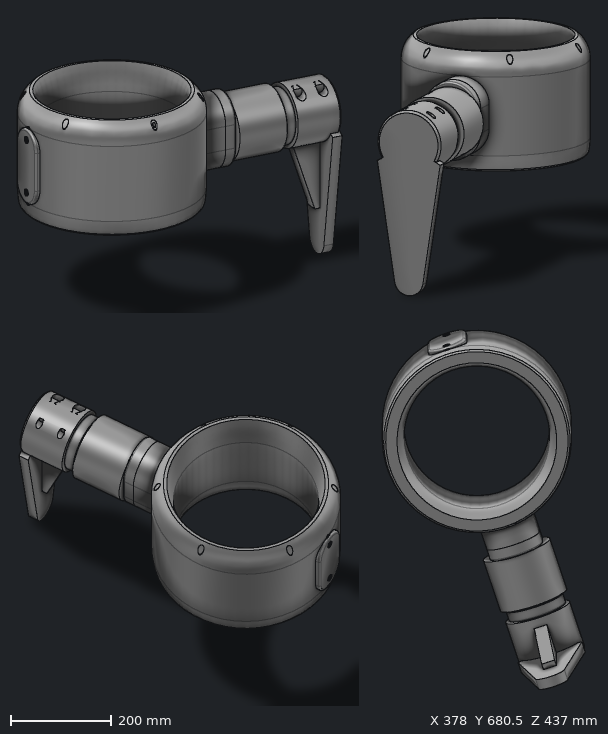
import cadquery as cq
import math


ring_diameter = 378.0
bore_radius = 145.0
band_half_height = 80.0
ring_top = 127.0
ring_bottom = -113.0
rim_outer_radius = 165.0
rim_inner_radius = 158.0
bore_top = 67.0
bore_bottom = -65.0
bottom_outer_radius = 186.0
bottom_inner_radius = 159.0
bottom_chamfer = 4.0

plug_count = 6
plug_circle_radius = 177.0
plug_diameter = 12.0
plug_recess = 1.0
crown_socket_floor = 109.0

screw_hole_diameter = 14.0
screw_diameter = 11.5
screw_gap_depth = 1.5
socket_diameter = 5.7
socket_depth = 3.5

plate_front = -194.5
plate_width = 79.5
plate_fillet = 5.0
plate_screw_z = 56.5
plate_root = -163.5
pin_diameter = 11.5
pin_front = -190.5
pin_z = 78.0

neck_width = 110.0
neck_root = 150.0
neck_end = 228.0
flange_end = 252.5
sleeve_end = 360.0
groove_end = 363.5
collar_end = 386.0
arm_end = 486.0
flange_fillet = 4.0
sleeve_diameter = 140.0
groove_diameter = 105.0
collar_diameter = 119.0
collar_fillet = 3.0
collar_chamfer = 1.5

cap_diameter = 135.0
cap_chamfer = 5.0
cross_ys = (406.0, 456.0)
cross_z = 56.0
shank_diameter = 12.0
shank_tip_x = -28.0
counterbore_diameter = 22.0
counterbore_floor_x = 15.0
head_diameter = 21.0
head_top_x = 26.5

leg_thickness = 22.0
leg_bottom = -310.0
leg_tip_radius = 30.5
leg_shoulder_radius = 77.5
leg_shoulder_angle = math.radians(30)
rib_width = 27.0
rib_bottom = -208.0
rib_bottom_depth = 11.5
rib_top_depth = 60.0

ring_radius = ring_diameter / 2
band_height = 2 * band_half_height
cap_radius = cap_diameter / 2
leg_inner_y = arm_end - leg_thickness


def plane_at_y(y):
    """Plane facing +Y, with local x along -X and local y along +Z."""
    return cq.Workplane(cq.Plane(origin=(0, y, 0), xDir=(-1, 0, 0), normal=(0, 1, 0)))


def upright_slot(width, y_start, y_end):
    """Upright round-ended block as tall as the band, between two Y positions."""
    return plane_at_y(y_start).slot2D(band_height, width, 90).extrude(y_end - y_start)


def disc(diameter, y_start, y_end):
    """Round stretch of the arm."""
    return plane_at_y(y_start).circle(diameter / 2).extrude(y_end - y_start)


def cylinder(diameter, start, direction, length):
    """Cylinder from a start point along a direction."""
    return cq.Workplane(
        cq.Solid.makeCylinder(diameter / 2, length, cq.Vector(*start), cq.Vector(*direction))
    )


def bulge_point(wall_radius, wall_z, end_radius, end_z):
    """Middle of the arc that leaves a vertical wall smoothly and stops at an end point.

    Coordinates are (distance from the ring axis, height).
    """
    run = end_radius - wall_radius
    rise = end_z - wall_z
    arc_radius = (run ** 2 + rise ** 2) / (2 * abs(run))
    half_angle = math.asin(abs(rise) / arc_radius) / 2
    radius = wall_radius + math.copysign(arc_radius * (1 - math.cos(half_angle)), run)
    height = wall_z + math.copysign(arc_radius * math.sin(half_angle), rise)
    return radius, height


def ring_solid(inset=0.0):
    """Turned ring; the inset lowers the whole outer crown and wall."""
    wall = ring_radius - inset
    rim = rim_outer_radius - inset
    foot = bottom_outer_radius - inset
    foot_top = ring_bottom + bottom_chamfer
    return (
        cq.Workplane("XZ")
        .moveTo(rim_inner_radius, ring_top)
        .lineTo(rim, ring_top)
        .threePointArc(bulge_point(wall, band_half_height, rim, ring_top), (wall, band_half_height))
        .lineTo(wall, -band_half_height)
        .threePointArc(bulge_point(wall, -band_half_height, foot, foot_top), (foot, foot_top))
        .lineTo(foot - bottom_chamfer, ring_bottom)
        .lineTo(bottom_inner_radius, ring_bottom)
        .threePointArc(
            bulge_point(bore_radius, bore_bottom, bottom_inner_radius, ring_bottom),
            (bore_radius, bore_bottom),
        )
        .lineTo(bore_radius, bore_top)
        .threePointArc(
            bulge_point(bore_radius, bore_top, rim_inner_radius, ring_top),
            (rim_inner_radius, ring_top),
        )
        .close()
        .revolve(360, (0, 0, 0), (0, 1, 0))
    )


def cover_plate():
    """Rounded plate with two socket screws, and a pin behind each end."""
    plate = upright_slot(plate_width, plate_front, plate_root).faces("<Y").edges().fillet(plate_fillet)
    for side in (-1, 1):
        pin = disc(pin_diameter, pin_front, plate_root).translate((0, 0, side * pin_z))
        plate = plate.union(pin)
        screw_at = (0, plate_front, side * plate_screw_z)
        gap = cylinder(screw_hole_diameter, screw_at, (0, 1, 0), screw_gap_depth)
        plate = plate.cut(gap.cut(cylinder(screw_diameter, screw_at, (0, 1, 0), screw_gap_depth)))
        plate = plate.cut(cylinder(socket_diameter, screw_at, (0, 1, 0), socket_depth))
    return plate


def crown_plugs():
    """Cutter for the plug faces, which follow the crown just below its surface."""
    core = ring_solid(plug_recess)
    cutter = cq.Workplane()
    for index in range(plug_count):
        angle = 2 * math.pi * index / plug_count
        x = plug_circle_radius * math.cos(angle)
        y = plug_circle_radius * math.sin(angle)
        plug = cylinder(plug_diameter, (x, y, band_half_height), (0, 0, 1), ring_top - band_half_height)
        cutter = cutter.add(plug.cut(core))
    return cutter.combine()


def crown_socket():
    """Cutter for the socket in the plug on the +X side."""
    floor = (plug_circle_radius, 0, crown_socket_floor)
    return cylinder(socket_diameter, floor, (0, 0, 1), ring_top - crown_socket_floor)


def make_ring():
    neck = upright_slot(neck_width, neck_root, neck_end)
    crowned = ring_solid().cut(crown_plugs()).cut(crown_socket())
    return crowned.union(neck).union(cover_plate())


def make_sleeve():
    """Flange, round sleeve, groove and collar in a row."""
    flange = upright_slot(neck_width, neck_end, flange_end).faces(">Y").edges().fillet(flange_fillet)
    collar = (
        disc(collar_diameter, groove_end, collar_end)
        .faces(">Y").edges().fillet(collar_fillet)
        .faces("<Y").edges().chamfer(collar_chamfer)
    )
    return (
        flange.union(disc(sleeve_diameter, flange_end, sleeve_end))
        .union(disc(groove_diameter, sleeve_end, groove_end))
        .union(collar)
    )


def cross_screw_cutter(y):
    """Space around one cross screw: shank hole on -X, counterbore around the head on +X."""
    shank = cylinder(shank_diameter, (shank_tip_x, y, cross_z), (-1, 0, 0), cap_radius)
    bore = cylinder(counterbore_diameter, (counterbore_floor_x, y, cross_z), (1, 0, 0), cap_radius)
    head_height = head_top_x - counterbore_floor_x
    head = cylinder(head_diameter, (counterbore_floor_x, y, cross_z), (1, 0, 0), head_height)
    return shank.union(bore.cut(head))


def leg():
    """Flat tapered leg with a round tip and shoulders that run radially into the cap."""
    shoulder_x = leg_shoulder_radius * math.cos(leg_shoulder_angle)
    shoulder_z = -leg_shoulder_radius * math.sin(leg_shoulder_angle)
    tip_z = leg_bottom + leg_tip_radius
    drop = shoulder_z - tip_z
    tangent_angle = math.atan2(drop, shoulder_x) - math.acos(leg_tip_radius / math.hypot(drop, shoulder_x))
    tangent_x = leg_tip_radius * math.cos(tangent_angle)
    tangent_z = tip_z + leg_tip_radius * math.sin(tangent_angle)
    return (
        plane_at_y(leg_inner_y)
        .moveTo(0, 0)
        .lineTo(shoulder_x, shoulder_z)
        .lineTo(tangent_x, tangent_z)
        .threePointArc((0, leg_bottom), (-tangent_x, tangent_z))
        .lineTo(-shoulder_x, shoulder_z)
        .close()
        .extrude(leg_thickness)
    )


def rib():
    """Tapered rib between the cap and the leg."""
    return (
        cq.Workplane("YZ", origin=(-rib_width / 2, 0, 0))
        .moveTo(leg_inner_y, 0)
        .lineTo(leg_inner_y, rib_bottom)
        .lineTo(leg_inner_y - rib_bottom_depth, rib_bottom)
        .lineTo(leg_inner_y - rib_top_depth, -cap_radius)
        .lineTo(leg_inner_y - rib_top_depth, 0)
        .close()
        .extrude(rib_width)
    )


def make_cap():
    cap = disc(cap_diameter, collar_end, arm_end).faces(">Y").edges().chamfer(cap_chamfer)
    for y in cross_ys:
        cap = cap.cut(cross_screw_cutter(y))
    return cap.union(leg()).union(rib())


ring = make_ring()
sleeve = make_sleeve()
cap = make_cap()
result = cq.Compound.makeCompound([ring.val(), sleeve.val(), cap.val()])